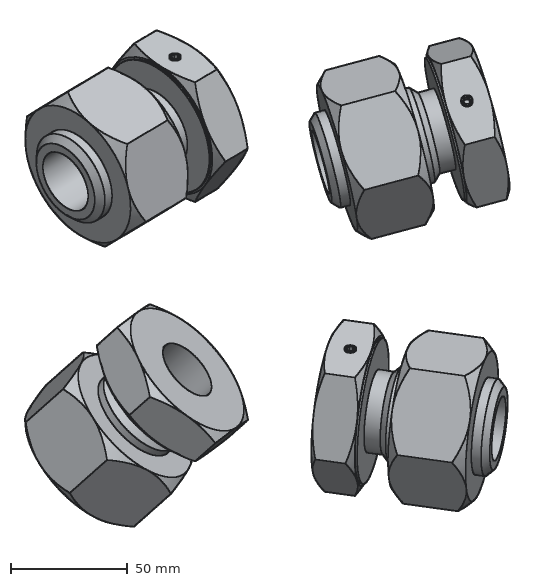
import cadquery as cq
import math

corner_diameter = 75.05
flat_radius = corner_diameter / 2 * math.cos(math.radians(30))
total_length = 75.0

flange_thickness = 19.1
flange_corner_chamfer = 2.9
collar_radius = 31.5
collar_end = 20.0
neck_radius = 18.0
neck_end = 27.0
stem_radius = 21.1
stem_bevel = stem_radius - neck_radius
bore_radius = 13.95

nut_start = 33.6
nut_length = 34.0
nut_corner_chamfer = 5.0
nut_turn = 12.2

screw_radius = 2.55
screw_length = 6.0
screw_edge_chamfer = 0.3
socket_flats = 2.85
socket_depth = 3.0


def cylinder(radius, start, end):
    """Cylinder about the axis between two distances in front of the back face."""
    return cq.Workplane("XZ").workplane(offset=start).circle(radius).extrude(end - start)


def beveled_hexagon(start, length, corner_chamfer):
    """Hexagonal prism along the axis whose corners are turned down to a cone at both ends."""
    corner_radius = corner_diameter / 2
    prism = cq.Workplane("XZ").workplane(offset=start).polygon(6, corner_diameter).extrude(length)
    end = start + length
    envelope = (
        cq.Workplane("XY")
        .moveTo(0, -start)
        .lineTo(flat_radius, -start)
        .lineTo(corner_radius, -start - corner_chamfer)
        .lineTo(corner_radius, -end + corner_chamfer)
        .lineTo(flat_radius, -end)
        .lineTo(0, -end)
        .close()
        .revolve(360, (0, 0, 0), (0, 1, 0))
    )
    return prism.intersect(envelope)


def make_screw_blank():
    """Set screw without its socket, flush with the top flat and centred on the flange."""
    return (
        cq.Workplane("XY", origin=(0, -collar_end / 2, flat_radius))
        .circle(screw_radius)
        .extrude(-screw_length)
    )


def make_fitting():
    """Hexagonal flange, collar, neck and beveled stem in one piece, bored through."""
    flange = beveled_hexagon(0, flange_thickness, flange_corner_chamfer)
    collar = cylinder(collar_radius, flange_thickness, collar_end)
    neck = cylinder(neck_radius, collar_end, neck_end)
    stem = cylinder(stem_radius, neck_end, total_length).faces("<Y or >Y").chamfer(stem_bevel)
    bore = cylinder(bore_radius, 0, total_length)
    return flange.union(collar).union(neck).union(stem).cut(bore).cut(make_screw_blank())


def make_nut():
    """Hexagonal nut that fits closely around the stem."""
    nut_end = nut_start + nut_length
    hexagon = beveled_hexagon(nut_start, nut_length, nut_corner_chamfer)
    hexagon = hexagon.rotate((0, 0, 0), (0, 1, 0), nut_turn)
    return hexagon.cut(cylinder(stem_radius, nut_start, nut_end))


def make_set_screw():
    """Set screw with a chamfered rim and a hexagon socket pointing along Y."""
    socket_corners = socket_flats / math.cos(math.radians(30))
    socket = (
        cq.Workplane("XY", origin=(0, -collar_end / 2, flat_radius))
        .transformed(rotate=(0, 0, 90))
        .polygon(6, socket_corners)
        .extrude(-socket_depth)
    )
    return make_screw_blank().faces(">Z").chamfer(screw_edge_chamfer).cut(socket)


fitting = make_fitting()
nut = make_nut()
set_screw = make_set_screw()

result = cq.Compound.makeCompound([fitting.val(), nut.val(), set_screw.val()])